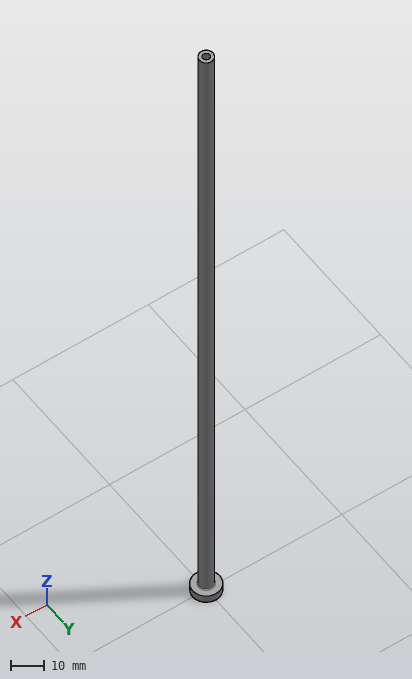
import cadquery as cq
import math

head_diameter = 10.0
head_thickness = 3.0
shaft_diameter = 5.0
shaft_length = 250.0
bore_diameter = 2.5
neck_fillet_radius = 0.3

head_radius = head_diameter / 2
shaft_radius = shaft_diameter / 2
bore_radius = bore_diameter / 2
overall_length = head_thickness + shaft_length


def make_half_section():
    """Wall section on the -X side, with the base of the head at Z = 0."""
    fillet_center_x = -shaft_radius - neck_fillet_radius
    fillet_center_z = head_thickness + neck_fillet_radius
    diagonal_step = neck_fillet_radius * math.sqrt(0.5)
    fillet_middle = (fillet_center_x + diagonal_step, fillet_center_z - diagonal_step)
    return (
        cq.Workplane("XZ")
        .moveTo(-bore_radius, 0)
        .lineTo(-head_radius, 0)
        .lineTo(-head_radius, head_thickness)
        .lineTo(fillet_center_x, head_thickness)
        .threePointArc(fillet_middle, (-shaft_radius, fillet_center_z))
        .lineTo(-shaft_radius, overall_length)
        .lineTo(-bore_radius, overall_length)
        .close()
    )


result = make_half_section().revolve(360, (0, 0), (0, 1))